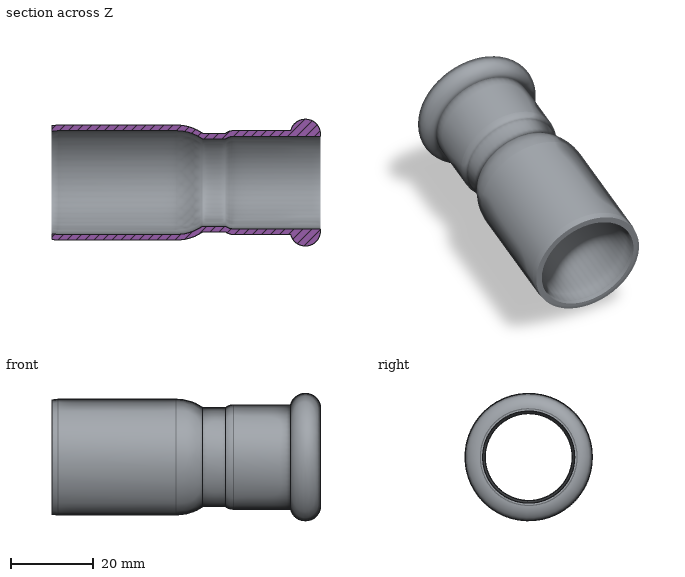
import cadquery as cq
import math

wall = 1.5
spigot_radius = 28.0 / 2
neck_radius = 24.0 / 2
socket_radius = 25.3 / 2
bead_radius = 30.8 / 2
tip_inset = 0.2
bead_section_radius = 3.7

tip_end = 1.55
spigot_end = 30.0
neck_start = 36.45
neck_end = 42.0
socket_start = 43.95
length = 65.0
bead_middle = length - bead_section_radius
bead_center_radius = bead_radius - bead_section_radius
bead_start = bead_middle - math.sqrt(bead_section_radius**2 - (socket_radius - bead_center_radius) ** 2)


def tangent_arc_middle(start, end):
    """Middle point of an arc that leaves start parallel to X and reaches end."""
    run = end[0] - start[0]
    rise = end[1] - start[1]
    arc_radius = (run**2 + rise**2) / (2 * abs(rise))
    half_angle = math.atan2(abs(rise), run)
    drop = math.copysign(arc_radius * (1 - math.cos(half_angle)), rise)
    return (start[0] + arc_radius * math.sin(half_angle), start[1] + drop)


def tangent_arc_middle_reversed(start, end):
    """Middle point of an arc that leaves start and reaches end parallel to X."""
    mirrored_middle = tangent_arc_middle((-end[0], end[1]), (-start[0], start[1]))
    return (-mirrored_middle[0], mirrored_middle[1])


def add_outer_profile(sketch):
    """Draw the outside from the spigot tip to the socket mouth."""
    shoulder_start = (spigot_end, spigot_radius)
    shoulder_end = (neck_start, neck_radius)
    step_start = (neck_end, neck_radius)
    step_end = (socket_start, socket_radius)
    return (
        sketch.lineTo(tip_end, spigot_radius)
        .lineTo(*shoulder_start)
        .threePointArc(tangent_arc_middle(shoulder_start, shoulder_end), shoulder_end)
        .lineTo(*step_start)
        .threePointArc(tangent_arc_middle_reversed(step_start, step_end), step_end)
        .lineTo(bead_start, socket_radius)
        .threePointArc((bead_middle, bead_radius), (length, bead_center_radius))
    )


def add_bore_profile(sketch):
    """Draw the inside, one wall thickness in, from the mouth back to the tip."""
    spigot_bore = spigot_radius - wall
    neck_bore = neck_radius - wall
    socket_bore = socket_radius - wall
    shoulder_start = (spigot_end, spigot_bore)
    shoulder_end = (neck_start, neck_bore)
    step_start = (neck_end, neck_bore)
    step_end = (socket_start, socket_bore)
    return (
        sketch.lineTo(length, socket_bore)
        .lineTo(*step_end)
        .threePointArc(tangent_arc_middle_reversed(step_start, step_end), step_start)
        .lineTo(*shoulder_end)
        .threePointArc(tangent_arc_middle(shoulder_start, shoulder_end), shoulder_start)
        .lineTo(tip_end, spigot_bore)
        .lineTo(0, spigot_bore - tip_inset)
    )


profile = cq.Workplane("XY").moveTo(0, spigot_radius - tip_inset)
profile = add_outer_profile(profile)
profile = add_bore_profile(profile).close()
result = profile.revolve(360, (0, 0, 0), (1, 0, 0))